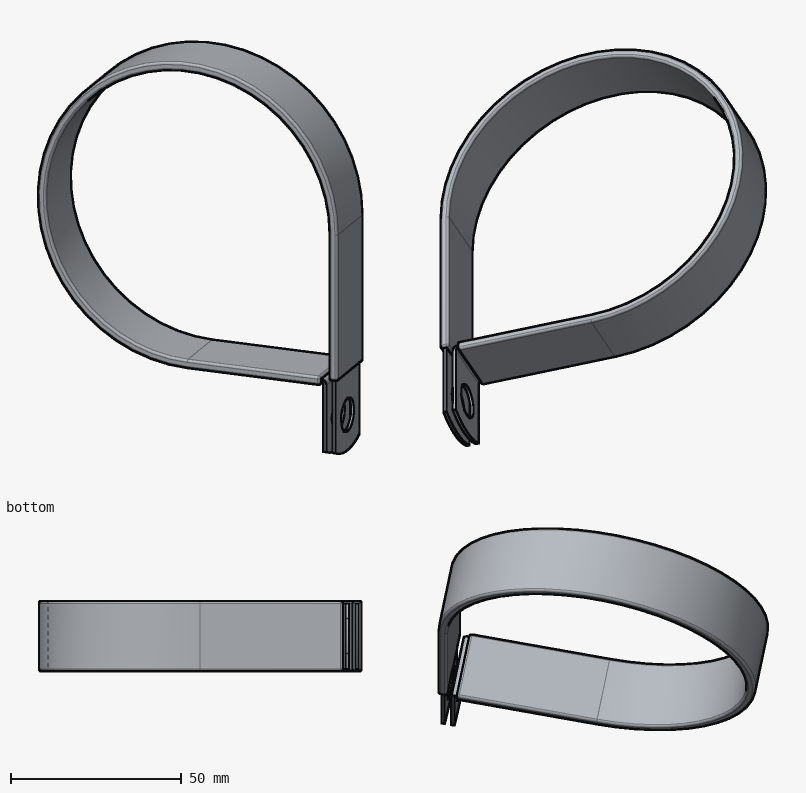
import cadquery as cq
import math

DIAGONAL = math.sqrt(0.5)

total_height = 117.1
total_width = 20.6
loop_diameter = 94.5
core_thickness = 1.0
core_width = 19.2
cushion_thickness = 0.88
edge_fillet = 0.76
leg_end_z = -45.3
foot_end_x = 41.8
bend_radius = 1.2
hole_diameter = 10.2
hole_to_tip = 11.0
tip_sagitta = 2.1

loop_radius = loop_diameter / 2
mid_radius = loop_radius - cushion_thickness - core_thickness / 2
tip_z = loop_radius - total_height
shoulder_z = tip_z + tip_sagitta
hole_z = tip_z + hole_to_tip
bend_z = -mid_radius - bend_radius


def extrude_centered(outline, width):
    return outline.extrude(width / 2, both=True)


def open_loop(thickness, leg_z, foot_x):
    """Three-quarter ring with a vertical leg and a horizontal leg, as a closed outline."""
    outer = mid_radius + thickness / 2
    inner = mid_radius - thickness / 2
    return (
        cq.Workplane("XZ")
        .moveTo(outer, leg_z)
        .lineTo(outer, 0)
        .threePointArc((-outer * DIAGONAL, outer * DIAGONAL), (0, -outer))
        .lineTo(foot_x, -outer)
        .lineTo(foot_x, -inner)
        .lineTo(0, -inner)
        .threePointArc((-inner * DIAGONAL, inner * DIAGONAL), (inner, 0))
        .lineTo(inner, leg_z)
        .close()
    )


def make_cushion():
    """Soft covering with every outer edge rounded, including those of both ends."""
    thickness = core_thickness + 2 * cushion_thickness
    body = extrude_centered(open_loop(thickness, leg_end_z, foot_end_x), total_width)
    leg_end = (mid_radius, 0, leg_end_z)
    foot_end = (foot_end_x, 0, -mid_radius)
    rim_edges = body.faces("<Y or >Y").edges()
    for end in (leg_end, foot_end):
        end_edges = body.faces(cq.selectors.NearestToPointSelector(end)).edges("|Y")
        rim_edges = rim_edges.add(end_edges)
    return rim_edges.fillet(edge_fillet)


def make_core():
    """Metal strip through the cushion, ending in two parallel tabs."""
    strip = extrude_centered(open_loop(core_thickness, tip_z, foot_end_x), core_width)
    bend_outer = bend_radius + core_thickness / 2
    bend_inner = bend_radius - core_thickness / 2
    bent_tab = (
        cq.Workplane("XZ")
        .moveTo(foot_end_x, bend_z + bend_outer)
        .threePointArc(
            (foot_end_x + bend_outer * DIAGONAL, bend_z + bend_outer * DIAGONAL),
            (foot_end_x + bend_outer, bend_z),
        )
        .lineTo(foot_end_x + bend_outer, tip_z)
        .lineTo(foot_end_x + bend_inner, tip_z)
        .lineTo(foot_end_x + bend_inner, bend_z)
        .threePointArc(
            (foot_end_x + bend_inner * DIAGONAL, bend_z + bend_inner * DIAGONAL),
            (foot_end_x, bend_z + bend_inner),
        )
        .close()
    )
    return strip.union(extrude_centered(bent_tab, core_width))


def tab_trim():
    """Waste below the arched tab tips together with the bolt hole."""
    half_width = core_width / 2
    tip_waste = (
        cq.Workplane("YZ")
        .moveTo(-half_width, shoulder_z)
        .threePointArc((0, tip_z), (half_width, shoulder_z))
        .lineTo(half_width, tip_z)
        .lineTo(-half_width, tip_z)
        .close()
        .extrude(loop_radius)
    )
    bolt_hole = (
        cq.Workplane("YZ")
        .center(0, hole_z)
        .circle(hole_diameter / 2)
        .extrude(loop_radius)
    )
    return tip_waste.union(bolt_hole)


result = make_cushion().union(make_core()).cut(tab_trim())